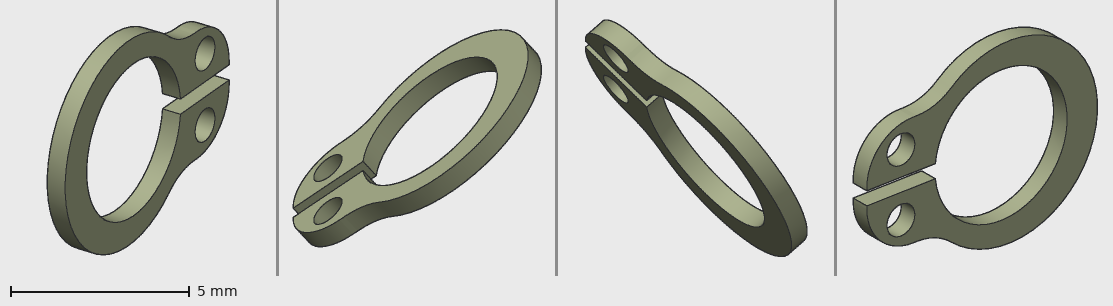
import cadquery as cq
import math

thickness = 0.6
bore_radius = 2.4
outer_radius = 3.23
outer_center_y = -0.28
overall_length = 8.39
gap_width = 0.48
lug_half_width = 2.005
lug_radius = 1.66
flat_length = 0.17
hole_radius = 0.5
hole_y = 3.64
hole_z = 1.125

tip_y = outer_center_y - outer_radius + overall_length
lug_center_y = tip_y - lug_radius
lug_center_z = lug_half_width - lug_radius
blend_y = lug_center_y - flat_length
blend_offset = blend_y - outer_center_y
blend_radius = (blend_offset**2 + lug_half_width**2 - outer_radius**2) / (
    2 * (outer_radius - lug_half_width)
)
blend_z = lug_half_width + blend_radius
rim_angle = math.atan2(blend_z, blend_offset)


def on_circle(center_y, center_z, radius, angle):
    """Point in the YZ plane on a circle, with the angle measured from +Y."""
    return (center_y + radius * math.cos(angle), center_z + radius * math.sin(angle))


def mirrored(point):
    return (point[0], -point[1])


tip = (tip_y, lug_center_z)
lug_middle = on_circle(lug_center_y, lug_center_z, lug_radius, math.pi / 4)
flat_start = (lug_center_y, lug_half_width)
flat_end = (blend_y, lug_half_width)
blend_middle = on_circle(blend_y, blend_z, blend_radius, (rim_angle - math.pi / 2 - math.pi) / 2)
rim_start = on_circle(outer_center_y, 0, outer_radius, rim_angle)
rim_back = (outer_center_y - outer_radius, 0)

body = (
    cq.Workplane("YZ")
    .moveTo(*tip)
    .threePointArc(lug_middle, flat_start)
    .lineTo(*flat_end)
    .threePointArc(blend_middle, rim_start)
    .threePointArc(rim_back, mirrored(rim_start))
    .threePointArc(mirrored(blend_middle), mirrored(flat_end))
    .lineTo(*mirrored(flat_start))
    .threePointArc(mirrored(lug_middle), mirrored(tip))
    .close()
    .extrude(thickness)
)

bore = cq.Workplane("YZ").circle(bore_radius).extrude(thickness)

gap = cq.Workplane("XY").box(thickness, tip_y, gap_width, centered=(False, False, True))

plier_holes = (
    cq.Workplane("YZ")
    .pushPoints([(hole_y, hole_z), (hole_y, -hole_z)])
    .circle(hole_radius)
    .extrude(thickness)
)

result = body.cut(bore).cut(gap).cut(plier_holes)